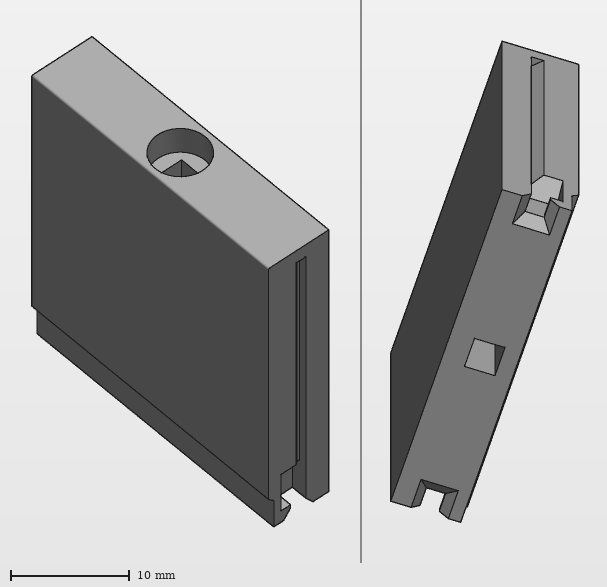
import cadquery as cq

WIDTH = 30.0
THICKNESS = 6.8
HEIGHT = 32.0
FRONT_Y = -THICKNESS / 2
BACK_Y = THICKNESS / 2
SIDE_X = WIDTH / 2
TOP_EDGE_RADIUS = 0.2

STEP_DEPTH = 0.6
STEP_HEIGHT = 3.2

BORE_DIAMETER = 5.6
BORE_DEPTH = 2.9
SQUARE_HOLE = 2.7

BACK_WALL = 2.6
GROOVE_BACK_Y = BACK_Y - BACK_WALL
GROOVE_WIDTH = 1.1
GROOVE_FLOOR_WIDTH = 0.25
GROOVE_DEPTH = 0.8
TOP_WALL = 1.5
GROOVE_TOP_Z = HEIGHT - TOP_WALL

POCKET_WIDTH = 2.8
POCKET_DEPTH = 1.7
POCKET_FLOOR_Z = 4.15
POCKET_MOUTH_Z = POCKET_FLOOR_Z + POCKET_DEPTH

HOOK_TOP_Z = 1.4
ENTRY_WIDTH = 1.7
FLARE_HEIGHT = 1.0
FLARE_SIDE_OFFSET = 0.8
FLARE_END_OFFSET = 1.0


def make_block():
    step_y = FRONT_Y + STEP_DEPTH
    profile = [
        (BACK_Y, 0),
        (BACK_Y, HEIGHT),
        (FRONT_Y, HEIGHT),
        (FRONT_Y, STEP_HEIGHT + STEP_DEPTH),
        (step_y, STEP_HEIGHT),
        (step_y, 0),
    ]
    block = cq.Workplane("YZ").polyline(profile).close().extrude(SIDE_X, both=True)
    return block.edges(">Z and <Y").fillet(TOP_EDGE_RADIUS)


def make_center_hole():
    bore = (
        cq.Workplane("XY", origin=(0, 0, HEIGHT - BORE_DEPTH))
        .circle(BORE_DIAMETER / 2)
        .extrude(BORE_DEPTH)
    )
    square = cq.Workplane("XY").rect(SQUARE_HOLE, SQUARE_HOLE).extrude(HEIGHT)
    return bore.union(square)


def make_groove():
    """Vertical groove in the -X side whose front wall slopes down to a narrow floor."""
    floor_x = -SIDE_X + GROOVE_DEPTH
    section = [
        (-SIDE_X, GROOVE_BACK_Y),
        (floor_x, GROOVE_BACK_Y),
        (floor_x, GROOVE_BACK_Y - GROOVE_FLOOR_WIDTH),
        (-SIDE_X, GROOVE_BACK_Y - GROOVE_WIDTH),
    ]
    return (
        cq.Workplane("XY", origin=(0, 0, POCKET_FLOOR_Z))
        .polyline(section)
        .close()
        .extrude(GROOVE_TOP_Z - POCKET_FLOOR_Z)
    )


def make_pocket():
    """Latch pocket in the -X side, from the hook top up to the sloped ceiling."""
    floor_x = -SIDE_X + POCKET_DEPTH
    section = [
        (-SIDE_X, HOOK_TOP_Z),
        (floor_x, HOOK_TOP_Z),
        (floor_x, POCKET_FLOOR_Z),
        (-SIDE_X, POCKET_MOUTH_Z),
    ]
    return (
        cq.Workplane("XZ", origin=(0, GROOVE_BACK_Y, 0))
        .polyline(section)
        .close()
        .extrude(POCKET_WIDTH)
    )


def make_entry():
    """Opening behind the hook, flared towards the bottom face on all inner walls."""
    center_y = GROOVE_BACK_Y - ENTRY_WIDTH / 2
    straight = (
        cq.Workplane("XY", origin=(-SIDE_X, center_y, 0))
        .rect(2 * POCKET_DEPTH, ENTRY_WIDTH)
        .extrude(HOOK_TOP_Z)
    )
    flare = (
        cq.Workplane("XY", origin=(-SIDE_X, center_y, 0))
        .rect(2 * (POCKET_DEPTH + FLARE_END_OFFSET), ENTRY_WIDTH + 2 * FLARE_SIDE_OFFSET)
        .workplane(offset=FLARE_HEIGHT)
        .rect(2 * POCKET_DEPTH, ENTRY_WIDTH)
        .loft()
    )
    return straight.union(flare)


side_cut = make_groove().union(make_pocket()).union(make_entry())

result = make_block().cut(make_center_hole()).cut(side_cut).cut(side_cut.mirror("YZ"))